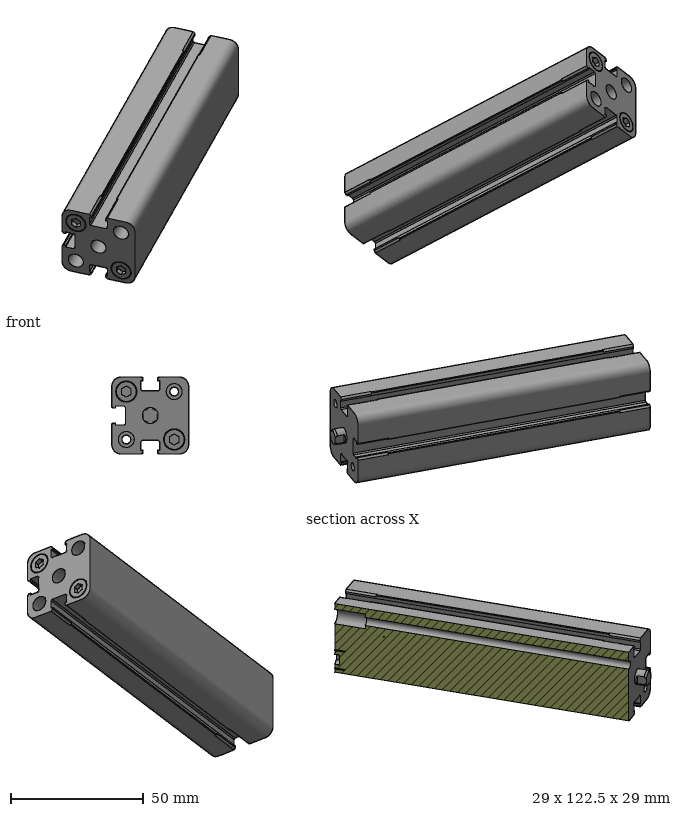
import cadquery as cq


total_length = 122.5
side = 29.0
corner_radius = 3.7
rod_stickout = 4.5
cap_length = 12.2
body_length = total_length - rod_stickout
barrel_length = body_length - 2 * cap_length

slot_depth = 5.1
slot_width = 7.1
slot_floor_chamfer = 0.5
lip_depth = 1.5
mouth_width = 5.6
barrel_mouth_chamfer = 0.31
cap_mouth_chamfer = (slot_width - mouth_width) / 2
slot_angles = (0, 90, 180)

corner_spacing = 18.0
corner_offset = corner_spacing / 2
mounting_bore_diameter = 6.0
through_hole_diameter = 3.2
screw_recess_diameter = 8.0
screw_head_diameter = 7.5
screw_gap_depth = 4.0
socket_across_corners = 4.2
socket_depth = 2.0

centre_bore_diameter = 6.0
centre_bore_depth = 8.0

rod_diameter = 6.0
rod_across_flats = 5.0
flat_length = 4.0
flat_runout = 0.5
tip_chamfer_length = 0.9
tip_chamfer_height = 0.4


def section(y):
    """Work plane across the cylinder at position y along its axis, facing -Y."""
    return cq.Workplane("XZ", origin=(0, y, 0))


def square_block(y, length):
    block = section(y).rect(side, side).extrude(-length)
    return block.edges("|Y").fillet(corner_radius)


def slot_cutter(y, length, mouth_chamfer):
    """T-shaped slot in the top side, with bevelled floor corners and a flared mouth."""
    top = side / 2
    channel_height = slot_depth - lip_depth
    channel_middle = top - lip_depth - channel_height / 2
    channel = section(y).center(0, channel_middle).rect(slot_width, channel_height).extrude(-length)
    channel = channel.edges("|Y and <Z").chamfer(slot_floor_chamfer)
    mouth = section(y).center(0, top - lip_depth / 2).rect(mouth_width, lip_depth).extrude(-length)
    flare = (
        section(y)
        .moveTo(-mouth_width / 2 - mouth_chamfer, top)
        .lineTo(mouth_width / 2 + mouth_chamfer, top)
        .lineTo(mouth_width / 2, top - mouth_chamfer)
        .lineTo(-mouth_width / 2, top - mouth_chamfer)
        .close()
        .extrude(-length)
    )
    return channel.union(mouth).union(flare)


def slotted_block(y, length, mouth_chamfer):
    block = square_block(y, length)
    cutter = slot_cutter(y, length, mouth_chamfer)
    for angle in slot_angles:
        block = block.cut(cutter.rotate((0, 0, 0), (0, 1, 0), -angle))
    return block


def bore(points, diameter, depth):
    """Round cutters entering the rear face at the given X, Z points."""
    return section(0).pushPoints(points).circle(diameter / 2).extrude(-depth)


def screw_cutters(points):
    """Ring gap around each flush screw head, and its hexagon socket."""
    gaps = (
        section(0)
        .pushPoints(points)
        .circle(screw_recess_diameter / 2)
        .circle(screw_head_diameter / 2)
        .extrude(-screw_gap_depth)
    )
    socket = section(0).polygon(6, socket_across_corners).extrude(-socket_depth)
    socket = socket.rotate((0, 0, 0), (0, 1, 0), 90)
    cutters = gaps
    for x, z in points:
        cutters = cutters.union(socket.translate((x, 0, z)))
    return cutters


def piston_rod():
    """Rod end with a tapered tip and two flats that run out into the round shank."""
    radius = rod_diameter / 2
    half_flats = rod_across_flats / 2
    flat_start = total_length - flat_length
    rod = (
        cq.Workplane("XY")
        .moveTo(0, body_length - cap_length)
        .lineTo(radius, body_length - cap_length)
        .lineTo(radius, total_length - tip_chamfer_length)
        .lineTo(radius - tip_chamfer_height, total_length)
        .lineTo(0, total_length)
        .close()
        .revolve(360, (0, 0, 0), (0, 1, 0))
    )
    flat = (
        cq.Workplane("XY")
        .moveTo(half_flats, total_length)
        .lineTo(half_flats, flat_start + flat_runout)
        .lineTo(half_flats + flat_runout, flat_start)
        .lineTo(rod_diameter, flat_start)
        .lineTo(rod_diameter, total_length)
        .close()
        .extrude(radius, both=True)
    )
    return rod.cut(flat).cut(flat.mirror("YZ"))


rear_cap = slotted_block(0, cap_length, cap_mouth_chamfer)
barrel = slotted_block(cap_length, barrel_length, barrel_mouth_chamfer)
front_cap = slotted_block(body_length - cap_length, cap_length, cap_mouth_chamfer)
body = rear_cap.union(barrel).union(front_cap)

screw_points = [(-corner_offset, corner_offset), (corner_offset, -corner_offset)]
mounting_points = [(corner_offset, corner_offset), (-corner_offset, -corner_offset)]
body = body.cut(screw_cutters(screw_points))
body = body.cut(bore(mounting_points, through_hole_diameter, body_length))
body = body.cut(bore(mounting_points, mounting_bore_diameter, cap_length))
body = body.cut(bore([(0, 0)], centre_bore_diameter, centre_bore_depth))

result = body.union(piston_rod())